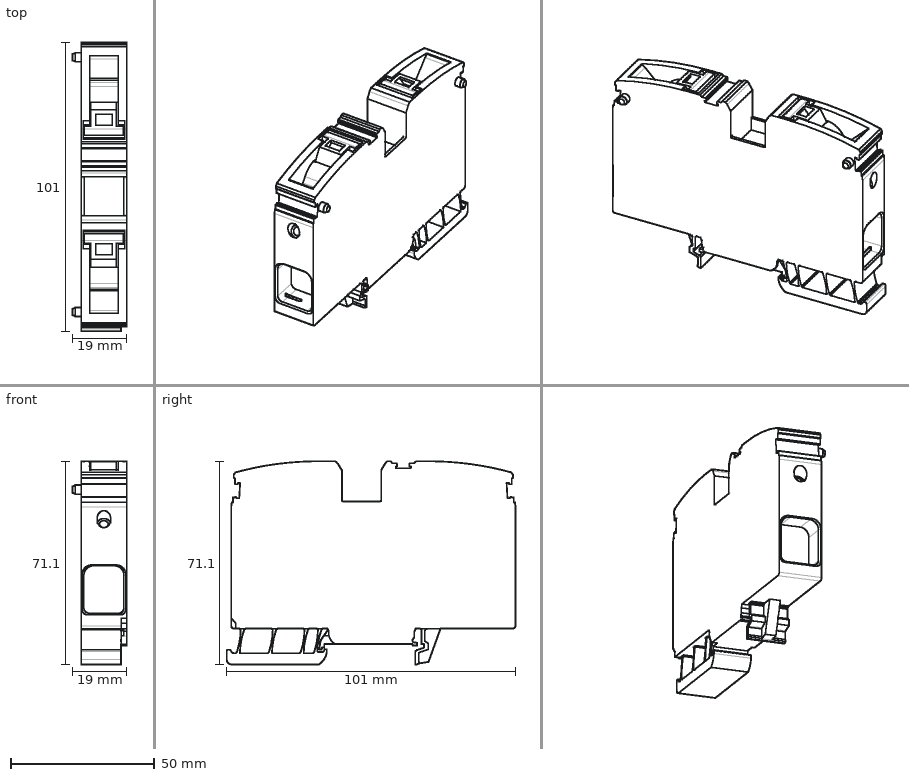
import cadquery as cq
import math


WIDTH = 16.0
HALF_LENGTH = 49.7
HEIGHT = 71.05
BASE_Z = 12.55
BLOCK_BOTTOM_Z = 7.1
BASE_CORNER_RADIUS = 1.0
CROWN_FLAT_HALF = 19.5
CROWN_RADIUS = 108.0
CROWN_END_Y = 48.2

OVERLAP = 1.0

GAP_LEFT_Y = 2.75
GAP_RIGHT_Y = -10.95
GAP_FLOOR_Z = 57.05
GAP_CORNER_RADIUS = 0.4
GAP_RECESS_FLOOR_Z = 52.2
SIDE_WALL = 1.1

PIN_Y = 44.5
PIN_Z = 61.1
PIN_RADIUS = 1.65
PIN_SHANK = 2.0
PIN_LENGTH = 3.0
PIN_NOSE_RADIUS = 1.5
PIN_TIP_RADIUS = 1.15

FUNNEL_LEFT_X = 3.0
FUNNEL_RIGHT_X = 13.0
FUNNEL_OUTER_Y = 45.0
LEVER_LEFT_X = 3.4
LEVER_RIGHT_X = 12.3
LEVER_TIP_Y = 26.1
LEVER_FOOT_Y = 28.8
LEVER_FOOT_Z = 66.2
LEVER_SLOT_FLOOR_Z = 66.0
BAR_LEFT_X = 1.2
BAR_RIGHT_X = 14.8
BAR_INNER_Y = 17.2
BAR_OUTER_Y = 20.4
SLOT_SIDE_MARGIN = 0.8
SLOT_INNER_Y = 15.9
SLOT_OUTER_Y = 22.4
SLOT_OUTER_RIM_Z = 70.6
SLOT_OUTER_FLOOR_Z = 69.3
SLOT_GROOVE = 0.5
SLOT_LEDGE_Y = 16.4
SLOT_LEDGE_Z = 69.5
LEVER_HOLE_X = (5.1, 10.9)
LEVER_HOLE_Y = (20.7, 24.5)
LEVER_HOLE_END_Y = 26.7
LEVER_HOLE_DEEP_Z = 62.5
LEVER_HOLE_ROOF_Z = 66.6
LEVER_HOLE_SHALLOW_Z = 70.0

MID_X = WIDTH / 2
TEST_HOLE_Z = 50.8
TEST_HOLE_TILT = 35.6
TEST_HOLE_RADIUS = 2.4
TEST_HOLE_DEPTH = 3.0
TEST_BORE_RADIUS = 1.5
TEST_BORE_DEPTH = 9.0
ENTRY_WIDTH = 14.0
ENTRY_BOTTOM_Z = 17.95
ENTRY_TOP_Z = 34.5
ENTRY_TOP_RADIUS = 3.3
ENTRY_BOTTOM_RADIUS = 1.9
ENTRY_DEPTH = 9.5
ENTRY_LEAD_IN = 0.6
FLOOR_GROOVE_X = (7.8, 14.4)
FLOOR_GROOVE_SETBACK = 4.7
FLOOR_GROOVE_WIDTH = 1.2
FLOOR_GROOVE_DEPTH = 0.1

FOOT_WIDTH = 14.0
FOOT_TOP_Z = 4.0
FOOT_END_Y = -51.27
FOOT_HEEL_RADIUS = 1.8
FOOT_LIP_Z = 5.25
FOOT_LIP_RADIUS = 0.6
RIB_LEAN = 1.5
RIB_BOW = 0.3
RIB_FLARE = 0.4
RIB_TOPS = [(-18.1, -19.4), (-22.8, -24.1), (-33.9, -35.2), (-45.1, -46.4)]
CATCH_X = (1.0, 14.0)
CATCH_ROOT_X = 14.9
CATCH_ROOT_Z = 10.1
WEDGE_X = (5.0, 9.0)
RELIEF_TOP_Z = 16.2
RELIEF_WALL_Z = 14.5
RELIEF_DEPTH = 1.6


def crown_z(y):
    """Height of the curved top at a distance y from the middle."""
    rise = math.sqrt(CROWN_RADIUS**2 - (y - CROWN_FLAT_HALF) ** 2)
    return HEIGHT - CROWN_RADIUS + rise


def plate(outline, x_from, x_to):
    """Extrude a closed outline drawn in the YZ plane between two X positions."""
    return outline.close().extrude(x_to - x_from).translate((x_from, 0, 0))


def polygon_plate(points, x_from, x_to):
    """Extrude a straight-sided outline drawn in the YZ plane between two X positions."""
    return plate(cq.Workplane("YZ").polyline(points), x_from, x_to)


def block(x_range, y_range, z_range):
    """Box that fills the given ranges."""
    size = [high - low for low, high in (x_range, y_range, z_range)]
    corner = (x_range[0], y_range[0], z_range[0])
    return cq.Workplane("XY").box(*size, centered=False).translate(corner)


def edge_at(y, z):
    """Selector for the edge along X at the given Y and Z."""
    near = 0.1
    return cq.selectors.BoxSelector((0, y - near, z - near), (WIDTH, y + near, z + near))


def at_both_ends(feature):
    """The feature at the +Y end together with its mirror image at the -Y end."""
    return feature.union(feature.mirror("XZ"))


def end_steps():
    """Outline of the +Y end from the rounded top corner down to the end face."""
    return [
        (48.8, 66.3),
        (48.8, 65.2),
        (48.4, 65.0),
        (48.4, 63.1),
        (48.2, 62.95),
        (47.4, 62.95),
        (47.3, 63.35),
        (46.6, 63.35),
        (46.9, 58.1),
        (47.6, 58.1),
        (48.1, 58.7),
        (48.4, 58.4),
        (49.1, 58.4),
        (49.1, 56.7),
        (49.5, 56.7),
        (HALF_LENGTH, 55.2),
    ]


def marker_groove():
    """Outline of the undercut groove in the top and of the shoulder beside the gap, from +Y to -Y."""
    return [
        (14.9, HEIGHT),
        (14.2, 70.4),
        (12.8, 70.4),
        (12.5, 70.0),
        (12.5, 69.3),
        (13.2, 69.1),
        (13.0, 68.6),
        (7.9, 68.6),
        (7.9, 69.1),
        (8.3, 69.3),
        (8.3, 70.0),
        (8.0, 70.4),
        (6.6, 70.4),
        (6.1, HEIGHT),
        (4.8, HEIGHT),
        (4.2, 70.4),
        (GAP_LEFT_Y, 68.0),
    ]


def housing():
    """Plain housing body with rounded base corners and rounded gap corners."""
    steps = end_steps()
    mirrored_steps = [(-y, z) for y, z in steps]
    crown_mid_y = (CROWN_FLAT_HALF + CROWN_END_Y) / 2
    crown_mid = (crown_mid_y, crown_z(crown_mid_y))
    crown_end = (CROWN_END_Y, crown_z(CROWN_END_Y))
    outline = (
        cq.Workplane("YZ")
        .moveTo(CROWN_FLAT_HALF, HEIGHT)
        .polyline(marker_groove(), includeCurrent=True)
        .lineTo(GAP_LEFT_Y, GAP_FLOOR_Z)
        .lineTo(GAP_RIGHT_Y, GAP_FLOOR_Z)
        .lineTo(GAP_RIGHT_Y, 67.8)
        .lineTo(-12.3, 70.1)
        .lineTo(-13.3, HEIGHT)
        .lineTo(-CROWN_FLAT_HALF, HEIGHT)
        .threePointArc((-crown_mid[0], crown_mid[1]), (-crown_end[0], crown_end[1]))
        .polyline(mirrored_steps, includeCurrent=True)
        .lineTo(-HALF_LENGTH, BASE_Z)
        .lineTo(HALF_LENGTH, BASE_Z)
        .polyline(steps[::-1], includeCurrent=True)
        .lineTo(*crown_end)
        .threePointArc(crown_mid, (CROWN_FLAT_HALF, HEIGHT))
    )
    body = plate(outline, 0, WIDTH)
    for y in (-HALF_LENGTH, HALF_LENGTH):
        body = body.edges(edge_at(y, BASE_Z)).fillet(BASE_CORNER_RADIUS)
    for y in (GAP_LEFT_Y, GAP_RIGHT_Y):
        body = body.edges(edge_at(y, GAP_FLOOR_Z)).fillet(GAP_CORNER_RADIUS)
    return body


def gap_recess():
    """Sunken floor of the gap, leaving a thin wall at each side."""
    x_range = (SIDE_WALL, WIDTH - SIDE_WALL)
    z_range = (GAP_RECESS_FLOOR_Z, GAP_FLOOR_Z + OVERLAP)
    return block(x_range, (GAP_RIGHT_Y, GAP_LEFT_Y), z_range)


def pin():
    """Stepped locating pin with a tapered nose on the flat side."""
    profile = [
        (0, OVERLAP),
        (PIN_RADIUS, OVERLAP),
        (PIN_RADIUS, -PIN_SHANK),
        (PIN_NOSE_RADIUS, -PIN_SHANK),
        (PIN_TIP_RADIUS, -PIN_LENGTH),
        (0, -PIN_LENGTH),
    ]
    turned = cq.Workplane("XY").polyline([(x, r) for r, x in profile]).close()
    return turned.revolve(360, (0, 0, 0), (1, 0, 0)).translate((0, PIN_Y, PIN_Z))


def wire_funnel():
    """Slanted wire opening between the outer wall and the tip of the lever."""
    outline = (
        cq.Workplane("YZ")
        .moveTo(FUNNEL_OUTER_Y, HEIGHT)
        .lineTo(FUNNEL_OUTER_Y, 67.6)
        .threePointArc((44.5, 67.2), (43.9, 66.8))
        .lineTo(37.1, 60.1)
        .lineTo(36.5, 60.2)
        .lineTo(35.8, 61.0)
        .lineTo(34.4, 62.9)
        .threePointArc((32.0, 65.1), (LEVER_FOOT_Y, LEVER_FOOT_Z))
        .lineTo(LEVER_TIP_Y, crown_z(LEVER_TIP_Y))
        .lineTo(LEVER_TIP_Y, HEIGHT)
    )
    return plate(outline, FUNNEL_LEFT_X, FUNNEL_RIGHT_X)


def lever_clearance():
    """Narrow gap that frees the T-shaped lever from the housing."""
    z_range = (LEVER_SLOT_FLOOR_Z, HEIGHT + OVERLAP)
    slot_x = (SLOT_SIDE_MARGIN, WIDTH - SLOT_SIDE_MARGIN)
    wing_y = BAR_OUTER_Y + SLOT_GROOVE
    slot = block(slot_x, (SLOT_LEDGE_Y, wing_y), z_range)
    slot = slot.union(block(slot_x, (SLOT_INNER_Y, SLOT_LEDGE_Y), (SLOT_LEDGE_Z, HEIGHT + OVERLAP)))
    slot = slot.cut(block((BAR_LEFT_X, BAR_RIGHT_X), (BAR_INNER_Y, BAR_OUTER_Y), z_range))
    slot = slot.cut(block((LEVER_LEFT_X, LEVER_RIGHT_X), (BAR_OUTER_Y, wing_y), z_range))
    wing_profile = [
        (wing_y, SLOT_OUTER_FLOOR_Z),
        (SLOT_OUTER_Y, SLOT_OUTER_RIM_Z),
        (SLOT_OUTER_Y, HEIGHT),
        (wing_y, HEIGHT),
    ]
    slot = slot.union(polygon_plate(wing_profile, SLOT_SIDE_MARGIN, FUNNEL_LEFT_X))
    slot = slot.union(polygon_plate(wing_profile, FUNNEL_RIGHT_X, WIDTH - SLOT_SIDE_MARGIN))
    arm_y = (BAR_OUTER_Y, LEVER_FOOT_Y)
    slot = slot.union(block((FUNNEL_LEFT_X, LEVER_LEFT_X), arm_y, z_range))
    return slot.union(block((LEVER_RIGHT_X, FUNNEL_RIGHT_X), arm_y, z_range))


def lever_hole():
    """Rectangular driver hole that slants outwards and down inside the lever."""
    inner_y, outer_y = LEVER_HOLE_Y
    profile = [
        (inner_y, HEIGHT),
        (inner_y, LEVER_HOLE_SHALLOW_Z),
        (LEVER_HOLE_END_Y, LEVER_HOLE_DEEP_Z),
        (LEVER_HOLE_END_Y, LEVER_HOLE_ROOF_Z),
        (outer_y, LEVER_HOLE_SHALLOW_Z),
        (outer_y, HEIGHT),
    ]
    return polygon_plate(profile, *LEVER_HOLE_X)


def test_hole():
    """Stepped round hole that runs inwards and down from the end face."""
    tilt = math.radians(TEST_HOLE_TILT)
    inwards = cq.Vector(0, -math.cos(tilt), -math.sin(tilt))
    mouth = cq.Vector(MID_X, HALF_LENGTH, TEST_HOLE_Z)
    run_out = TEST_HOLE_RADIUS * 2
    start = mouth - inwards * run_out
    wide = cq.Solid.makeCylinder(TEST_HOLE_RADIUS, run_out + TEST_HOLE_DEPTH, start, inwards)
    bore = cq.Solid.makeCylinder(TEST_BORE_RADIUS, TEST_BORE_DEPTH, mouth, inwards)
    return cq.Workplane(obj=wide).union(cq.Workplane(obj=bore))


def entry_outline(plane, margin):
    """Outline of the wire entry, grown outwards by a margin."""
    left = MID_X - ENTRY_WIDTH / 2 - margin
    right = MID_X + ENTRY_WIDTH / 2 + margin
    bottom = ENTRY_BOTTOM_Z - margin
    top = ENTRY_TOP_Z + margin / 2
    low = ENTRY_BOTTOM_RADIUS
    high = ENTRY_TOP_RADIUS
    return (
        plane.moveTo(left + low, bottom)
        .lineTo(right - low, bottom)
        .radiusArc((right, bottom + low), -low)
        .lineTo(right, top - high)
        .radiusArc((right - high, top), -high)
        .lineTo(left + high, top)
        .radiusArc((left, top - high), -high)
        .lineTo(left, bottom + low)
        .radiusArc((left + low, bottom), -low)
        .close()
    )


def wire_entry():
    """Blind wire opening in the +Y end face with a sloping lead-in."""
    end_plane = cq.Workplane("XZ", origin=(0, HALF_LENGTH, 0))
    pocket = entry_outline(end_plane, 0).extrude(ENTRY_DEPTH)
    mouth = entry_outline(end_plane, ENTRY_LEAD_IN)
    throat_plane = mouth.workplane(offset=ENTRY_LEAD_IN)
    return pocket.union(entry_outline(throat_plane, 0).loft(ruled=True))


def entry_floor_groove():
    """Shallow round-ended groove across part of the wire entry floor."""
    left, right = FLOOR_GROOVE_X
    centre = ((left + right) / 2, HALF_LENGTH - FLOOR_GROOVE_SETBACK)
    floor = cq.Workplane("XY", origin=(0, 0, ENTRY_BOTTOM_Z - FLOOR_GROOVE_DEPTH))
    slot = floor.center(*centre).slot2D(right - left, FLOOR_GROOVE_WIDTH)
    return slot.extrude(FLOOR_GROOVE_DEPTH + OVERLAP)


def central_block():
    """Block between the rail grips, with a small lip on its +Y edge."""
    outline = (
        cq.Workplane("YZ")
        .moveTo(14.8, BASE_Z + OVERLAP)
        .lineTo(14.8, BASE_Z)
        .lineTo(14.3, 11.3)
        .lineTo(14.3, 9.5)
        .lineTo(13.7, 8.6)
        .lineTo(13.8, 7.9)
        .lineTo(15.3, 7.6)
        .lineTo(15.3, 6.65)
        .lineTo(13.8, 6.65)
        .lineTo(13.6, BLOCK_BOTTOM_Z)
        .lineTo(-13.2, BLOCK_BOTTOM_Z)
        .threePointArc((-14.6, 8.2), (-15.5, 10.0))
        .lineTo(-15.6, 11.6)
        .lineTo(-16.1, BASE_Z)
        .lineTo(-16.1, BASE_Z + OVERLAP)
    )
    return plate(outline, 0, WIDTH)


def rail_catch():
    """Hooked catch on the -Y side of the central block, with a wider root."""
    catch = [
        (-13.0, BLOCK_BOTTOM_Z),
        (-15.0, BASE_Z),
        (-16.1, 11.8),
        (-18.3, 8.7),
        (-18.7, BLOCK_BOTTOM_Z),
    ]
    tip = [
        (-17.15, BLOCK_BOTTOM_Z + OVERLAP),
        (-18.5, BLOCK_BOTTOM_Z + OVERLAP),
        (-18.7, BLOCK_BOTTOM_Z),
        (-18.9, 5.15),
        (-18.1, 5.15),
        (-17.9, 5.9),
        (-17.15, 5.9),
    ]
    root = [
        (-15.0, CATCH_ROOT_Z),
        (-15.0, BASE_Z),
        (-16.1, 11.8),
        (-17.3, CATCH_ROOT_Z),
    ]
    shape = polygon_plate(catch, *CATCH_X).union(polygon_plate(tip, *CATCH_X))
    return shape.union(polygon_plate(root, CATCH_X[0], CATCH_ROOT_X))


def foot_bar():
    """Lower bar of the foot, upturned at both ends."""
    outline = (
        cq.Workplane("YZ")
        .moveTo(-16.2, 5.4)
        .lineTo(-16.2, 4.3)
        .threePointArc((-17.1, 2.0), (-19.0, 0))
        .lineTo(FOOT_END_Y + FOOT_HEEL_RADIUS, 0)
        .radiusArc((FOOT_END_Y, FOOT_HEEL_RADIUS), FOOT_HEEL_RADIUS)
        .lineTo(FOOT_END_Y, FOOT_LIP_Z - FOOT_LIP_RADIUS)
        .radiusArc((FOOT_END_Y + FOOT_LIP_RADIUS, FOOT_LIP_Z), FOOT_LIP_RADIUS)
        .lineTo(-50.0, FOOT_LIP_Z)
        .lineTo(-49.3, 4.2)
        .lineTo(-48.9, FOOT_TOP_Z)
        .lineTo(-19.8, FOOT_TOP_Z)
        .lineTo(-19.8, 4.9)
        .lineTo(-19.3, 4.4)
        .lineTo(-17.6, 4.4)
        .lineTo(-17.3, 4.7)
        .lineTo(-17.0, 5.4)
    )
    return plate(outline, 0, FOOT_WIDTH)


def foot_rib(top_inner_y, top_outer_y):
    """Slender leaning rib with both sides hollowed, from the housing down to the foot bar."""
    mid_z = (BASE_Z + FOOT_TOP_Z) / 2
    inner_foot_y = top_inner_y - RIB_LEAN
    outer_foot_y = top_outer_y - RIB_LEAN + RIB_FLARE / 2
    inner_mid = ((top_inner_y + inner_foot_y) / 2 - RIB_BOW, mid_z)
    outer_mid = ((top_outer_y + outer_foot_y) / 2 + RIB_BOW, mid_z)
    outline = (
        cq.Workplane("YZ")
        .moveTo(top_inner_y + RIB_FLARE, BASE_Z + OVERLAP)
        .lineTo(top_inner_y + RIB_FLARE, BASE_Z)
        .lineTo(top_inner_y, BASE_Z - RIB_FLARE)
        .threePointArc(inner_mid, (inner_foot_y, FOOT_TOP_Z))
        .lineTo(inner_foot_y, FOOT_TOP_Z - OVERLAP)
        .lineTo(outer_foot_y - RIB_FLARE, FOOT_TOP_Z - OVERLAP)
        .lineTo(outer_foot_y - RIB_FLARE, FOOT_TOP_Z)
        .lineTo(outer_foot_y, FOOT_TOP_Z + RIB_FLARE)
        .threePointArc(outer_mid, (top_outer_y, BASE_Z - RIB_FLARE))
        .lineTo(top_outer_y - RIB_FLARE, BASE_Z)
        .lineTo(top_outer_y - RIB_FLARE, BASE_Z + OVERLAP)
    )
    return plate(outline, 0, FOOT_WIDTH)


def foot():
    """Foot bar hung below the housing on its ribs."""
    shape = foot_bar()
    for inner_y, outer_y in RIB_TOPS:
        shape = shape.union(foot_rib(inner_y, outer_y))
    return shape


def spring_clip():
    """Bent strip that grips the rail, stiffened by a wedge behind it."""
    strip = [
        (18.9, BASE_Z + OVERLAP),
        (18.9, BASE_Z),
        (18.2, 12.2),
        (17.95, 11.7),
        (17.95, 8.2),
        (19.15, 7.4),
        (19.15, 5.3),
        (16.3, 4.3),
        (15.8, 4.0),
        (15.8, 1.2),
        (16.1, 0.4),
        (15.2, 0),
        (14.6, 0),
        (14.6, 4.6),
        (15.2, 5.1),
        (17.65, 5.9),
        (17.65, BLOCK_BOTTOM_Z),
        (16.75, BLOCK_BOTTOM_Z),
        (16.75, 12.2),
        (16.3, BASE_Z),
        (16.3, BASE_Z + OVERLAP),
    ]
    wedge = [
        (23.5, BASE_Z + OVERLAP),
        (23.5, BASE_Z),
        (19.3, 0.9),
        (15.7, 0.3),
        (15.5, 4.3),
        (18.7, 5.6),
        (17.5, 8.5),
        (17.5, BASE_Z + OVERLAP),
    ]
    return polygon_plate(strip, 0, FOOT_WIDTH).union(polygon_plate(wedge, *WEDGE_X))


def corner_relief():
    """Notch under the -Y end, beside the foot."""
    profile = [
        (-HALF_LENGTH - OVERLAP, RELIEF_TOP_Z),
        (-HALF_LENGTH, RELIEF_TOP_Z),
        (-HALF_LENGTH + RELIEF_DEPTH, RELIEF_WALL_Z),
        (-HALF_LENGTH + RELIEF_DEPTH, BASE_Z - OVERLAP),
        (-HALF_LENGTH - OVERLAP, BASE_Z - OVERLAP),
    ]
    return polygon_plate(profile, FOOT_WIDTH, WIDTH)


result = (
    housing()
    .cut(gap_recess())
    .cut(at_both_ends(wire_funnel()))
    .cut(at_both_ends(lever_clearance()))
    .cut(at_both_ends(lever_hole()))
    .cut(at_both_ends(test_hole()))
    .cut(at_both_ends(wire_entry()))
    .cut(at_both_ends(entry_floor_groove()))
    .union(at_both_ends(pin()))
    .union(central_block())
    .union(rail_catch())
    .union(foot())
    .union(spring_clip())
    .cut(corner_relief())
)